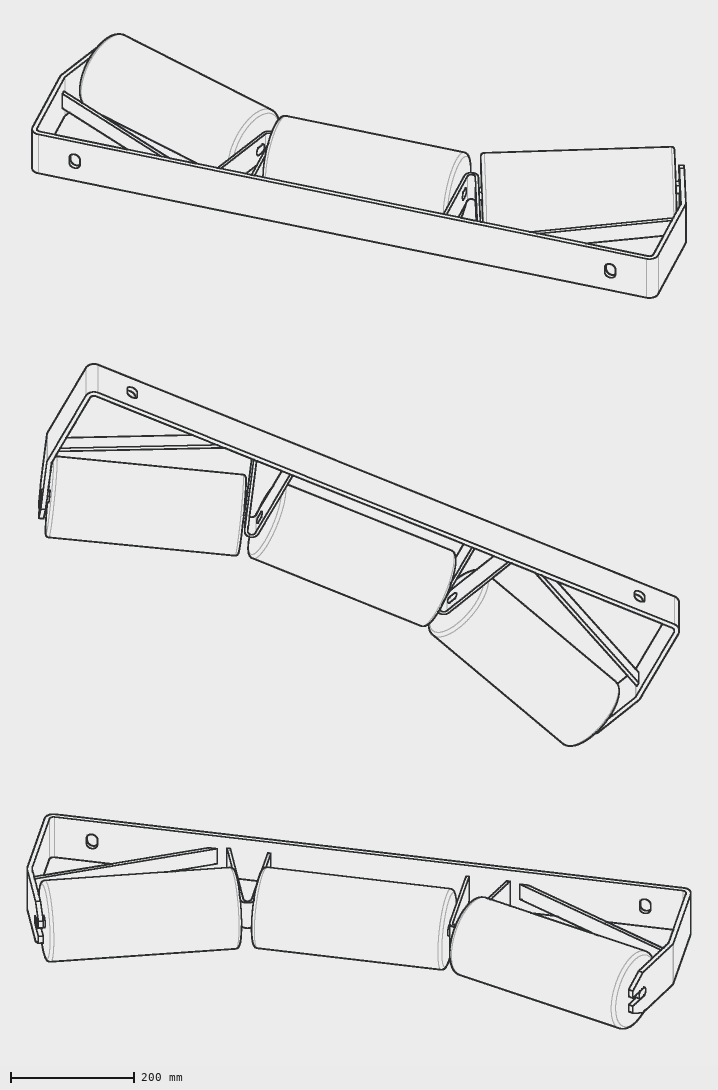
import cadquery as cq
import math

FRAME_LENGTH = 1070.0
TROUGH_ANGLE = 20.0

STRAP_THICKNESS = 8.0
STRAP_HEIGHT = 80.0
CORNER_RADIUS = 15.0
BEND_RADIUS = 11.0
BEND_Y = 158.0
ARM_LENGTH = 125.0
ARM_CHAMFER_LENGTH = 31.0
ARM_CHAMFER_HEIGHT = 18.0

MOUNT_HOLE_X = 458.0
MOUNT_HOLE_WIDTH = 18.0
MOUNT_HOLE_HEIGHT = 28.0

BRACKET_THICKNESS = 5.1
BRACKET_STRAIGHT_X = 162.0
BRACKET_HEIGHT = 50.0
BRACKET_FOOT_X = 234.0
BRACKET_BEND_RADIUS = 12.0

BRACE_THICKNESS = 6.0
BRACE_HEIGHT = 30.0
BRACE_TOP_Y = 152.0
BRACE_FOOT_X = 250.0

ROLLER_DIAMETER = 133.0
ROLLER_LENGTH = 315.0
ROLLER_EDGE_RADIUS = 5.0
CENTRE_ROLLER_Y = 126.0
SIDE_ROLLER_X = 341.0
SIDE_ROLLER_Y = 189.0
BRACKET_SHAFT_Z = -6.7
SHAFT_DIAMETER = 20.0
SHAFT_FLATS = 16.0
HOLE_OVERRUN = 2.0

HALF_LENGTH = FRAME_LENGTH / 2
LEAN = math.radians(TROUGH_ANGLE)
ARM_UP = cq.Vector(math.sin(LEAN), math.cos(LEAN))
ARM_OUT = cq.Vector(-math.cos(LEAN), math.sin(LEAN))
BEND = cq.Vector(-HALF_LENGTH, BEND_Y)
BRACKET_FOOT = cq.Vector(-BRACKET_FOOT_X, STRAP_THICKNESS)
SIDE_CENTRE = cq.Vector(-SIDE_ROLLER_X, SIDE_ROLLER_Y)

CENTRE_SHAFT_REACH = BRACKET_STRAIGHT_X + BRACKET_THICKNESS
SIDE_SHAFT_OUTER_REACH = (BEND - SIDE_CENTRE).dot(ARM_OUT)
SIDE_SHAFT_INNER_REACH = (SIDE_CENTRE - BRACKET_FOOT).dot(ARM_OUT) + BRACKET_THICKNESS
SIDE_TILT = math.atan2(-BRACKET_SHAFT_Z, SIDE_SHAFT_OUTER_REACH + SIDE_SHAFT_INNER_REACH)
SIDE_CENTRE_Z = -SIDE_SHAFT_OUTER_REACH * math.tan(SIDE_TILT)


def sheet(points, height):
    """Prism with its outline in XY, centred on Z = 0."""
    outline = [(point.x, point.y) for point in points]
    bottom = cq.Workplane("XY", origin=(0, 0, -height / 2))
    return bottom.polyline(outline).close().extrude(height)


def round_edge(body, corner, radius):
    """Rounds the edge along Z that passes through a corner of the outline."""
    return body.edges(cq.selectors.NearestToPointSelector((corner.x, corner.y, 0))).fillet(radius)


def both_sides(left):
    """Left-hand shape together with its mirror image."""
    return left.union(left.mirror("YZ"))


def roller(left_reach, right_reach):
    """Roller along X about the origin, with flattened shaft ends reaching to each side."""
    drum = (
        cq.Workplane("YZ", origin=(-ROLLER_LENGTH / 2, 0, 0))
        .circle(ROLLER_DIAMETER / 2)
        .extrude(ROLLER_LENGTH)
        .faces("<X or >X").edges().fillet(ROLLER_EDGE_RADIUS)
    )
    shaft = (
        cq.Workplane("YZ", origin=(-left_reach, 0, 0))
        .circle(SHAFT_DIAMETER / 2)
        .extrude(left_reach + right_reach)
    )
    flats = cq.Workplane("XY").box(2 * FRAME_LENGTH, SHAFT_DIAMETER, SHAFT_FLATS)
    return drum.union(shaft.intersect(flats))


def centre_roller_in_place(overrun=0):
    """Centre roller; an overrun lengthens its shaft ends for cutting their holes."""
    reach = CENTRE_SHAFT_REACH + overrun
    return roller(reach, reach).translate((0, CENTRE_ROLLER_Y, BRACKET_SHAFT_Z))


def side_rollers_in_place(overrun=0):
    """Left and right side rollers; an overrun lengthens their shaft ends for cutting their holes."""
    left = (
        roller(SIDE_SHAFT_OUTER_REACH + overrun, SIDE_SHAFT_INNER_REACH + overrun)
        .rotate((0, 0, 0), (0, 1, 0), math.degrees(SIDE_TILT))
        .rotate((0, 0, 0), (0, 0, 1), -TROUGH_ANGLE)
        .translate((SIDE_CENTRE.x, SIDE_CENTRE.y, SIDE_CENTRE_Z))
    )
    return [left, left.mirror("YZ")]


def arm_profile_cut():
    """Chamfered corners and open shaft slot at the end of the left arm."""
    tip = BEND + ARM_UP * ARM_LENGTH
    across = cq.Plane(origin=(tip.x, tip.y, 0), xDir=ARM_UP.toTuple(), normal=ARM_OUT.toTuple())
    half_height = STRAP_HEIGHT / 2
    tool = cq.Workplane(across)
    cut = None
    for side in (-1, 1):
        corner = (
            tool.moveTo(-ARM_CHAMFER_LENGTH, side * half_height)
            .lineTo(0, side * half_height)
            .lineTo(0, side * (half_height - ARM_CHAMFER_HEIGHT))
            .close()
            .extrude(STRAP_THICKNESS * 2, both=True)
        )
        cut = corner if cut is None else cut.union(corner)
    slot_depth = (tip - SIDE_CENTRE).dot(ARM_UP)
    slot = tool.center(-slot_depth / 2, 0).rect(slot_depth, SHAFT_FLATS)
    return cut.union(slot.extrude(STRAP_THICKNESS * 2, both=True))


def left_strap():
    """Left half of the strap: base, upright and leaning arm."""
    tip = BEND + ARM_UP * ARM_LENGTH
    corner = cq.Vector(-HALF_LENGTH, 0)
    inner_corner = corner + cq.Vector(STRAP_THICKNESS, STRAP_THICKNESS)
    inner_bend = BEND + cq.Vector(STRAP_THICKNESS, -STRAP_THICKNESS * math.tan(LEAN / 2))
    strap = sheet(
        [
            cq.Vector(0, 0),
            corner,
            BEND,
            tip,
            tip - ARM_OUT * STRAP_THICKNESS,
            inner_bend,
            inner_corner,
            cq.Vector(0, STRAP_THICKNESS),
        ],
        STRAP_HEIGHT,
    )
    for outside, inside, radius in (
        (corner, inner_corner, CORNER_RADIUS),
        (BEND, inner_bend, BEND_RADIUS),
    ):
        strap = round_edge(strap, outside, radius)
        strap = round_edge(strap, inside, radius - STRAP_THICKNESS)
    mount_hole = (
        cq.Workplane("XZ", origin=(-MOUNT_HOLE_X, 0, 0))
        .slot2D(MOUNT_HOLE_HEIGHT, MOUNT_HOLE_WIDTH, 90)
        .extrude(STRAP_THICKNESS * 2, both=True)
    )
    return strap.cut(mount_hole).cut(arm_profile_cut())


def left_bracket():
    """Bent sheet on the base: a leaning leg for the side roller, a straight one for the centre."""
    lean_slope = math.tan(LEAN)
    inner_foot_x = BRACKET_FOOT.x + BRACKET_THICKNESS / math.cos(LEAN)
    inner_straight_x = -CENTRE_SHAFT_REACH

    def apex(foot_x, straight_x):
        return cq.Vector(straight_x, STRAP_THICKNESS + (straight_x - foot_x) / lean_slope)

    outer_apex = apex(BRACKET_FOOT.x, -BRACKET_STRAIGHT_X)
    inner_apex = apex(inner_foot_x, inner_straight_x)
    bracket = sheet(
        [
            BRACKET_FOOT,
            outer_apex,
            cq.Vector(-BRACKET_STRAIGHT_X, STRAP_THICKNESS),
            cq.Vector(inner_straight_x, STRAP_THICKNESS),
            inner_apex,
            cq.Vector(inner_foot_x, STRAP_THICKNESS),
        ],
        BRACKET_HEIGHT,
    )
    bracket = round_edge(bracket, outer_apex, BRACKET_BEND_RADIUS)
    bracket = round_edge(bracket, inner_apex, BRACKET_BEND_RADIUS - BRACKET_THICKNESS)
    return bracket.translate((0, 0, BRACKET_SHAFT_Z))


def left_brace():
    """Flat diagonal bar between the upright and the base."""
    top = cq.Vector(-HALF_LENGTH + STRAP_THICKNESS, BRACE_TOP_Y)
    foot = cq.Vector(-BRACE_FOOT_X, STRAP_THICKNESS)
    slope = math.atan2(top.y - foot.y, foot.x - top.x)
    drop = cq.Vector(0, BRACE_THICKNESS / math.cos(slope))
    shift = cq.Vector(BRACE_THICKNESS / math.sin(slope), 0)
    return sheet([top, foot, foot - shift, top - drop], BRACE_HEIGHT)


def build_frame():
    """Strap with its brackets and braces welded on, and holes that fit the shaft ends."""
    frame = both_sides(left_strap().union(left_bracket()).union(left_brace()))
    for hole_tool in (centre_roller_in_place(HOLE_OVERRUN), *side_rollers_in_place(HOLE_OVERRUN)):
        frame = frame.cut(hole_tool)
    return frame


frame = build_frame()
centre_roller = centre_roller_in_place()
side_rollers = side_rollers_in_place()

result = cq.Compound.makeCompound(
    [frame.solids().val(), centre_roller.val(), *[side.val() for side in side_rollers]]
)